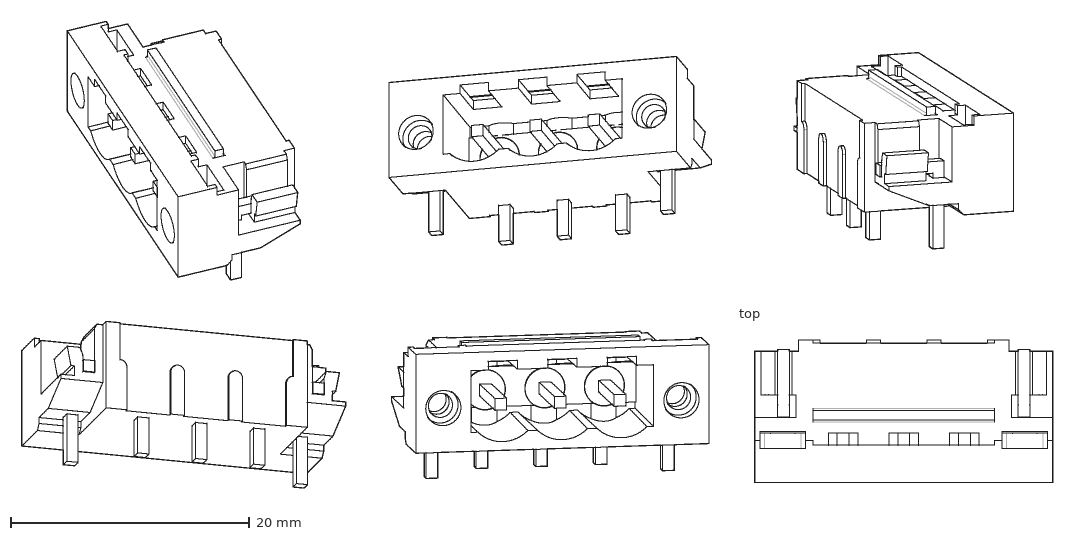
import cadquery as cq
import math


pitch = 5.08
contact_places = [-pitch, 0, pitch]
flange_offset = 2 * pitch
axis_z = 3.78
pin_width = 1.0
tail_bottom = -3.18

housing_length = 25.05
housing_depth = 12.0
housing_top = 7.64
core_length = 17.68
panel_length = 15.22

lip_top = 8.45
lip_end_depth = 3.53
lip_middle_depth = 3.15

wing_front = 5.45
wing_back = 11.05
ledge_top = 2.9
wing_back_bottom = 2.53
wing_slope_front = 7.45
wing_step_y = 4.88
wing_step_top = 1.0
wing_step_chamfer = 0.48

rib_front = 5.28
rib_back = 6.05
rib_top = 8.36
rib_fillet = 0.18

cavity_length = 15.57
cavity_depth = 8.45
cavity_floor = 1.63
cavity_roof = 6.89
cavity_draft = 0.08
lobe_radius = 3.03
key_width = 2.48
key_depth = 4.15
column_radius = 1.6
column_width = 2.15
column_setback = math.sqrt(column_radius**2 - (column_width / 2) ** 2)
bar_bottom = 2.3
bar_top = 5.73
bar_thickness = 0.4
boss_radius = 1.7
boss_thickness = 0.55

recess_depth = 0.28
post_radius = 0.6
post_places = [-1.5 * pitch, -0.5 * pitch, 0.5 * pitch, 1.5 * pitch]

clip_front = 7.35
anchor_x = 10.1
slot_inner = anchor_x - pin_width / 2
slot_outer = anchor_x + pin_width / 2
slot_floor = 3.33
recess_wall = 9.05
hook_outer = 11.97
hook_foot = 11.35
hook_bottom = 3.75
hook_bottom_outer = 11.65
hook_top = 5.43
lead_in = 0.23
wall_lead_in_height = 0.45
hook_lead_in_height = 0.68

screw_radius = 1.03
counterbore_radius = 1.5
counterbore_depth = 1.3
nut_side = 3.8
nut_thickness = 1.3
nut_corner = 0.38
nut_front = 2.85
nut_pocket_back = 4.3

contact_tip = 0.93
contact_back = 10.45
anchor_front = 5.5
anchor_back = 11.2


def box(x_span, y_span, z_span):
    """Block between the given (low, high) limits on each axis."""
    size = [high - low for low, high in (x_span, y_span, z_span)]
    corner = (x_span[0], y_span[0], z_span[0])
    return cq.Workplane("XY").box(*size, centered=False).translate(corner)


def centred(width, x=0.0):
    """Limits of a span of the given width about x."""
    return (x - width / 2, x + width / 2)


def rod_y(radius, x, z, y_span):
    """Cylinder along Y between the given limits."""
    length = y_span[1] - y_span[0]
    return cq.Workplane("XZ", origin=(x, y_span[0], z)).circle(radius).extrude(-length)


def mirrored(body):
    """Body together with its mirror image across the YZ plane."""
    return body.union(body.mirror("YZ"))


def front_block_and_wings():
    profile = [
        (0, 0),
        (wing_step_y - wing_step_chamfer, 0),
        (wing_step_y, wing_step_chamfer),
        (wing_step_y, wing_step_top),
        (wing_slope_front, wing_step_top),
        (wing_back, wing_back_bottom),
        (wing_back, ledge_top),
        (wing_front, ledge_top),
        (wing_front, housing_top),
        (lip_end_depth, housing_top),
        (lip_end_depth, lip_top),
        (0, lip_top),
    ]
    block = cq.Workplane("YZ").polyline(profile).close().extrude(housing_length / 2, both=True)
    lip_step = box(centred(panel_length), (lip_middle_depth, lip_end_depth), (housing_top, lip_top))
    return block.cut(lip_step)


def core_with_rib():
    core = box(centred(core_length), (0, housing_depth), (0, housing_top))
    profile = (
        cq.Workplane("YZ")
        .moveTo(rib_front - rib_fillet, housing_top)
        .radiusArc((rib_front, housing_top + rib_fillet), -rib_fillet)
        .lineTo(rib_front, rib_top)
        .lineTo(rib_back, rib_top)
        .lineTo(rib_back, housing_top + rib_fillet)
        .radiusArc((rib_back + rib_fillet, housing_top), -rib_fillet)
        .close()
    )
    return core.union(profile.extrude(panel_length / 2, both=True))


def anchor_clip():
    """Slot wall, slot floor and hook that hold the anchor on the +X side."""
    root = core_length / 2
    profile = [
        (root, ledge_top),
        (hook_foot, ledge_top),
        (hook_foot, hook_bottom),
        (hook_bottom_outer, hook_bottom),
        (hook_outer, hook_top),
        (slot_outer + lead_in, hook_top),
        (slot_outer, hook_top - hook_lead_in_height),
        (slot_outer, slot_floor),
        (slot_inner, slot_floor),
        (slot_inner, housing_top - wall_lead_in_height),
        (slot_inner - lead_in, housing_top),
        (root, housing_top),
    ]
    clip = (
        cq.Workplane("XZ", origin=(0, clip_front, 0))
        .polyline(profile)
        .close()
        .extrude(clip_front - wing_back)
    )
    front_wall = box((root, recess_wall), (wing_front, clip_front), (ledge_top, housing_top))
    return clip.union(front_wall)


def mating_cavity():
    """Empty space around the contacts, less the relief on its back wall."""
    profile = [
        (0, cavity_floor),
        (cavity_depth, cavity_floor + cavity_draft),
        (cavity_depth, cavity_roof - cavity_draft),
        (0, cavity_roof),
    ]
    cavity = cq.Workplane("YZ").polyline(profile).close().extrude(cavity_length / 2, both=True)
    lobe_space = box(centred(cavity_length), (0, cavity_depth), (0, axis_z))
    for x in contact_places:
        lobe = rod_y(lobe_radius, x, axis_z, (0, cavity_depth))
        key = box(centred(key_width, x), (0, key_depth), (axis_z, housing_top))
        cavity = cavity.union(lobe.intersect(lobe_space)).union(key)

    bar = box(centred(cavity_length), (cavity_depth - bar_thickness, cavity_depth), (bar_bottom, bar_top))
    cavity = cavity.cut(bar)
    for x in contact_places:
        column_axis = cavity_depth + column_setback
        column = cq.Workplane("XY").center(x, column_axis).circle(column_radius).extrude(housing_top)
        boss = rod_y(boss_radius, x, axis_z, (cavity_depth - boss_thickness, cavity_depth))
        cavity = cavity.cut(column).cut(boss)
    return cavity


def back_recess():
    """Shallow panel on the back face, less its round-topped posts."""
    y_span = (housing_depth - recess_depth, housing_depth)
    recess = box(centred(panel_length), y_span, (0, housing_top))
    for x in post_places:
        shaft = box(centred(2 * post_radius, x), y_span, (0, axis_z))
        crown = rod_y(post_radius, x, axis_z, y_span)
        recess = recess.cut(shaft).cut(crown)
    return recess


def flange_opening():
    """Counterbored screw hole and nut pocket on the +X side."""
    counterbore = rod_y(counterbore_radius, flange_offset, axis_z, (0, counterbore_depth))
    screw_hole = rod_y(screw_radius, flange_offset, axis_z, (0, nut_front))
    pocket = box(
        centred(nut_side, flange_offset),
        (nut_front, nut_pocket_back),
        (axis_z - nut_side / 2, lip_top),
    )
    return counterbore.union(screw_hole).union(pocket)


def make_contact(x):
    """Right-angle contact: mating pin along Y and solder tail down."""
    x_span = centred(pin_width, x)
    pin = box(x_span, (contact_tip, contact_back), centred(pin_width, axis_z))
    tail = box(x_span, (contact_back - pin_width, contact_back), (tail_bottom, axis_z))
    return pin.union(tail)


def make_anchor(x):
    """Right-angle solder anchor: bar in the clip's slot and leg at its front."""
    x_span = centred(pin_width, x)
    bar = box(x_span, (anchor_front, anchor_back), (slot_floor, slot_floor + pin_width))
    leg = box(x_span, (anchor_front, anchor_front + pin_width), (tail_bottom, slot_floor))
    return bar.union(leg)


def make_nut(x):
    """Square nut with rounded corners."""
    y_span = (nut_front, nut_front + nut_thickness)
    nut = box(centred(nut_side, x), y_span, centred(nut_side, axis_z)).edges("|Y").fillet(nut_corner)
    return nut.cut(rod_y(screw_radius, x, axis_z, y_span))


def make_housing(inserts):
    """Housing with exact-fit channels for the inserted contacts and anchors."""
    body = front_block_and_wings().union(core_with_rib()).union(mirrored(anchor_clip()))
    body = body.cut(mating_cavity()).cut(back_recess())
    opening = flange_opening()
    body = body.cut(opening).cut(opening.mirror("YZ"))
    for insert in inserts:
        body = body.cut(insert)
    return body


contacts = [make_contact(x) for x in contact_places]
anchors = [make_anchor(x) for x in (-anchor_x, anchor_x)]
nuts = [make_nut(x) for x in (-flange_offset, flange_offset)]
housing = make_housing(contacts + anchors)

result = cq.Compound.makeCompound(
    [housing.val()] + [body.val() for body in contacts + anchors + nuts]
)